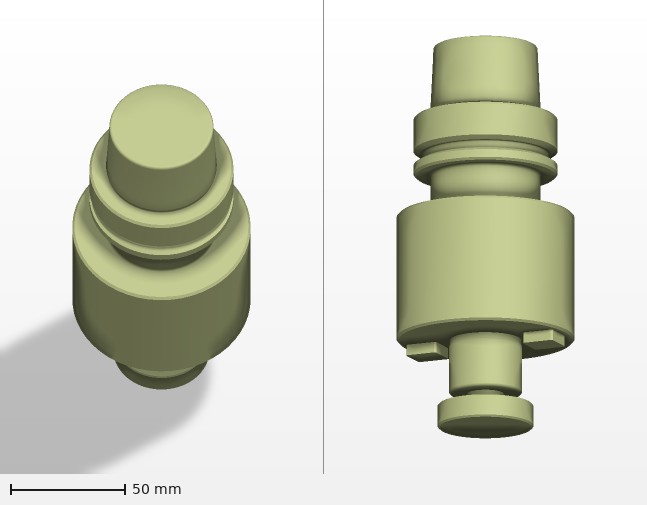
import cadquery as cq
import math


taper_length = 31.8
gauge_radius = 24.0
gauge_height = 6.3
taper_ratio = 9.98
taper_tip_round = 1.2

undercut_height = 2.0
undercut_radius = 23.7
undercut_step_height = 0.4
undercut_outer_radius = 25.5
undercut_fillet = 0.5
undercut_face_angle = 8.0

flange_radius = 31.5
flange_width = 26.0
flange_chamfer = 1.0
groove_floor_radius = 27.5
groove_lip_radius = 28.8
groove_centre_depth = 18.2
groove_floor_width = 3.5
groove_wall_angle = 30.0
groove_fillet = 0.4

shank_radius = 24.0
shank_fillet = 1.0

body_radius = 39.0
body_top = -44.0
body_length = 56.0
body_chamfer = 1.0
body_bottom = body_top - body_length

key_width = 14.0
key_inner_radius = 20.8
key_outer_radius = 35.2
key_height = 4.7
key_chamfer = 0.8

pilot_radius = 16.0
pilot_length = 24.0
pilot_round = 1.2
pilot_bottom = body_bottom - pilot_length
pilot_relief_radius = 15.7
pilot_relief_length = 2.8

screw_neck_radius = 8.0
screw_head_radius = 21.0
screw_head_height = 10.0
screw_head_top_chamfer = 0.5
screw_head_bottom_chamfer = 0.8
screw_neck_fillet = 0.5
screw_bottom = -139.08
screw_head_top = screw_bottom + screw_head_height


def taper_radius(z):
    """Radius of the taper at height z."""
    return gauge_radius - (z - gauge_height) / (2 * taper_ratio)


def spun(profile):
    """Solid made by turning a closed XZ profile about the Z axis."""
    return profile.close().revolve(360, (0, 0), (0, 1))


def turned(points):
    """Solid of revolution about Z from (radius, z) points."""
    return spun(cq.Workplane("XZ").polyline(points))


def disc(radius, bottom, top):
    """Cylinder about Z between two heights."""
    return cq.Workplane("XY").workplane(offset=bottom).circle(radius).extrude(top - bottom)


def make_taper():
    cone = turned([
        (0, 0),
        (taper_radius(0), 0),
        (taper_radius(taper_length), taper_length),
        (0, taper_length),
    ])
    return cone.faces(">Z").edges().fillet(taper_tip_round)


def make_undercut():
    """Ring cut out of the taper root and, along a shallow slope, out of the flange face."""
    slope = math.radians(undercut_face_angle)
    arc_centre_r = undercut_radius + undercut_fillet
    arc_end_r = arc_centre_r + undercut_fillet * math.sin(slope)
    arc_end_z = -(undercut_outer_radius - arc_end_r) * math.tan(slope)
    arc_centre_z = arc_end_z + undercut_fillet * math.cos(slope)
    wall_angle = math.pi
    face_angle = 1.5 * math.pi + slope
    mid_angle = (wall_angle + face_angle) / 2
    arc_mid = (
        arc_centre_r + undercut_fillet * math.cos(mid_angle),
        arc_centre_z + undercut_fillet * math.sin(mid_angle),
    )
    profile = (
        cq.Workplane("XZ")
        .moveTo(undercut_outer_radius, 0)
        .lineTo(arc_end_r, arc_end_z)
        .threePointArc(arc_mid, (undercut_radius, arc_centre_z))
        .lineTo(undercut_radius, undercut_height - undercut_step_height)
        .lineTo(taper_radius(undercut_height), undercut_height)
        .lineTo(undercut_outer_radius, undercut_height)
    )
    return spun(profile)


def make_flange():
    wall_drop = (flange_radius - groove_lip_radius) * math.tan(math.radians(groove_wall_angle))
    floor_half = groove_floor_width / 2
    mouth_half = floor_half + wall_drop
    flange = disc(flange_radius, -flange_width, 0).faces("<Z or >Z").chamfer(flange_chamfer)
    outside = flange_radius + flange_chamfer
    groove = turned([
        (groove_floor_radius, -groove_centre_depth + floor_half),
        (groove_lip_radius, -groove_centre_depth + floor_half),
        (flange_radius, -groove_centre_depth + mouth_half),
        (outside, -groove_centre_depth + mouth_half),
        (outside, -groove_centre_depth - mouth_half),
        (flange_radius, -groove_centre_depth - mouth_half),
        (groove_lip_radius, -groove_centre_depth - floor_half),
        (groove_floor_radius, -groove_centre_depth - floor_half),
    ])
    groove = groove.edges(cq.selectors.RadiusNthSelector(0)).fillet(groove_fillet)
    return flange.cut(groove)


def make_shank():
    """Cylinder flared by a concave fillet at the flange and at the body."""
    flare_radius = shank_radius + shank_fillet
    mid = shank_fillet * (1 - math.sqrt(0.5))
    top = -flange_width
    profile = (
        cq.Workplane("XZ")
        .moveTo(0, top)
        .lineTo(flare_radius, top)
        .threePointArc((shank_radius + mid, top - mid), (shank_radius, top - shank_fillet))
        .lineTo(shank_radius, body_top + shank_fillet)
        .threePointArc((shank_radius + mid, body_top + mid), (flare_radius, body_top))
        .lineTo(0, body_top)
    )
    return spun(profile)


def make_body():
    return disc(body_radius, body_bottom, body_top).faces("<Z or >Z").chamfer(body_chamfer)


def make_key(side):
    """Driving key on the +Y (side = 1) or -Y (side = -1) half of the body."""
    centre = side * (key_inner_radius + key_outer_radius) / 2
    return (
        cq.Workplane("XY")
        .workplane(offset=body_bottom)
        .center(0, centre)
        .rect(key_width, key_outer_radius - key_inner_radius)
        .extrude(-key_height)
        .edges("|Z")
        .chamfer(key_chamfer)
    )


def make_pilot():
    relief_bottom = body_bottom - pilot_relief_length
    step = pilot_radius - pilot_relief_radius
    pilot = turned([
        (0, body_bottom),
        (pilot_relief_radius, body_bottom),
        (pilot_relief_radius, relief_bottom + step),
        (pilot_radius, relief_bottom),
        (pilot_radius, pilot_bottom),
        (0, pilot_bottom),
    ])
    return pilot.faces("<Z").edges().fillet(pilot_round)


def make_screw():
    head = disc(screw_head_radius, screw_bottom, screw_head_top)
    head = head.faces(">Z").chamfer(screw_head_top_chamfer)
    head = head.faces("<Z").chamfer(screw_head_bottom_chamfer)
    screw = head.union(disc(screw_neck_radius, screw_head_top, pilot_bottom))
    head_top_face = screw.faces(cq.selectors.NearestToPointSelector((0, 0, screw_head_top)))
    return head_top_face.edges(cq.selectors.RadiusNthSelector(0)).fillet(screw_neck_fillet)


result = make_taper().union(make_flange()).cut(make_undercut())
for section in (make_shank(), make_body(), make_pilot(), make_screw()):
    result = result.union(section)
for side in (-1, 1):
    result = result.union(make_key(side))